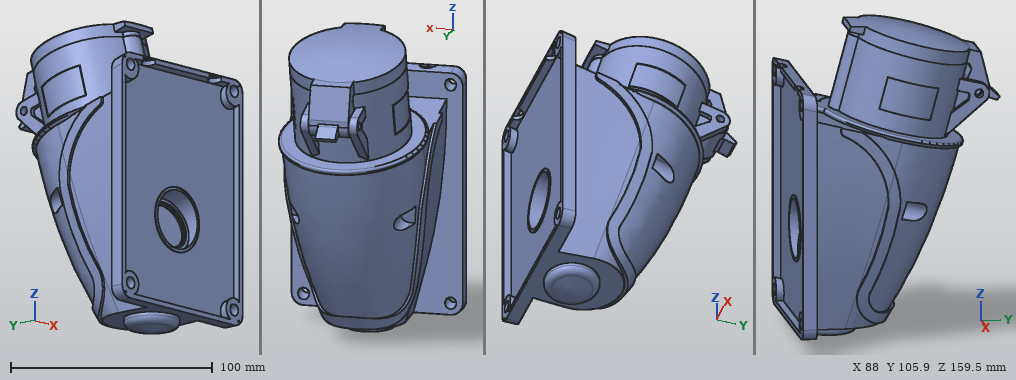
import cadquery as cq
import math

LEAN = 15.0
AXIS_OFFSET = 24.1
REACH = 191.6

PLATE_WIDTH = 88.0
PLATE_THICKNESS = 7.0
PLATE_TOP = 121.4
CORNER_RADIUS = 6.2
RIM_WALL = 2.5
RIM_DEPTH = 3.8
SCREW_X = PLATE_WIDTH / 2 - CORNER_RADIUS
SCREW_HEIGHTS = (7.8, 119.6)
SCREW_DIAMETER = 5.7
BOSS_DIAMETER = 11.7
BOSS_HEIGHTS = (7.8, 118.2)
RIM_NOTCH_X = 24.1
RIM_NOTCH_RADIUS = 4.3
RIM_NOTCH_OFFSET = 0.6

ENTRY_HEIGHT = 47.6
ENTRY_COLLAR_DIAMETER = 32.0
ENTRY_COLLAR_HEIGHT = 0.5
ENTRY_STEPS = ((28.9, 5.9), (25.0, 6.9), (23.2, 8.0))

BODY_RADIUS = 35.8
FLANGE_TOP = 110.8
FLANGE_THICKNESS = 3.0
FLANGE_BOTTOM = FLANGE_TOP - FLANGE_THICKNESS
SHELL_TOP = FLANGE_BOTTOM + 0.6
FLANGE_RADIUS = BODY_RADIUS + FLANGE_THICKNESS / 2
FLANGE_ROUND = 1.3
LOBE_RADIUS = 9.0
LOBE_Y = -35.5
SHELL_BACK = -63.9
SHELL_SECTIONS = ((0.0, 18.2), (19.5, 23.5), (40.0, 28.7), (59.1, 32.3), (87.8, 35.1), (SHELL_TOP, BODY_RADIUS))

BEAD_WIDTH = 6.0
BEAD_RISE = 1.5
BEAD_START = (-28.7, 107.5)
BEAD_ARCS = (
    ((-6.9, 96.0), (5.0, 75.0)),
    ((5.9, 55.9), (3.2, 28.0)),
    ((7.3, 18.8), (17.1, 15.2)),
    ((21.5, 16.0), (27.1, 18.8)),
)

SLOT_DIAMETER = 9.5
SLOT_X = 29.0
SLOT_Y = 11.0
SLOT_HEIGHT = 73.8

PLUG_Y = 20.8
PLUG_RADIUS = 13.9
PLUG_STRAIGHT = 1.6
PLUG_SHOULDER = (10.2, 5.1)
PLUG_DEPTH = 7.3

SOCKET_RADIUS = 29.0
SOCKET_FOOT = FLANGE_BOTTOM + 1.6
SOCKET_TOP = 149.2
KEY_RADIUS = 6.7
KEY_Y = -25.9
LABEL_HALF_WIDTH = 13.3
LABEL_BOTTOM = 120.0
LABEL_TOP = 136.5
LABEL_DEPTH = 0.5

HINGE_Y = 36.5
HINGE_Z = 136.4
ARM_HALF_WIDTH = 10.2
EAR_OUTER_X = 14.5
EAR_RADIUS = 5.1
EAR_HOLE = 4.2
EAR_FOOT = (24.0, SOCKET_FOOT)
EAR_ROOT_Y = 19.2
EAR_RECESS_DEPTH = 2.4
EAR_RECESS = ((EAR_ROOT_Y, 135.5), (32.3, 135.5), (32.3, 131.9), (EAR_ROOT_Y, 116.3))
EAR_RECESS_ROUND = 1.6

LID_EDGE = 156.0
DOME_RISE = 3.0
TAB_FRONT = -34.5
TAB_BOTTOM = 151.7
LID_KEY_RADIUS = 6.4
ARM_OUTLINE = (
    (16.0, SOCKET_TOP), (16.0, 156.2), (32.9, 156.2), (41.2, 141.2), (42.0, 138.3),
    (38.3, HINGE_Z), (31.3, 134.1), (29.9, 142.1), (30.5, 147.0), (28.7, SOCKET_TOP),
)
KNUCKLE_RADIUS = 5.7
LID_PIN_HOLE = 3.0
LEVER_HALF_WIDTH = 5.1
LEVER_OUTLINE = ((39.1, 140.5), (42.8, 138.8), (49.3, 135.3), (48.4, 133.3), (43.1, 133.8), (39.1, 131.8))


def lean(shape):
    """Move a shape from the leaning frame to its place in the enclosure."""
    return shape.translate((0, AXIS_OFFSET, 0)).rotate((0, 0, 0), (1, 0, 0), -LEAN)


def block(x0, x1, y0, y1, z0, z1):
    """Axis-aligned block between the given limits."""
    return cq.Workplane("XY").box(x1 - x0, y1 - y0, z1 - z0, centered=False).translate((x0, y0, z0))


def disc(radius, bottom, top, y=0.0):
    """Upright cylinder centred on x = 0."""
    return cq.Workplane("XY", origin=(0, y, bottom)).circle(radius).extrude(top - bottom)


def side_prism(outline, half_width):
    """Closed (y, z) outline extruded to both sides of x = 0."""
    return cq.Workplane("YZ").polyline(outline).close().extrude(half_width, both=True)


def side_rod(y, z, radius, half_width):
    """Cylinder along X, centred on x = 0."""
    return cq.Workplane("YZ", origin=(0, y, z)).circle(radius).extrude(half_width, both=True)


def drill(x, rear_y, height, diameter, start, end):
    """Leaning rod through (x, rear_y, height), reaching from start to end along its own axis."""
    direction = cq.Vector(0, math.cos(math.radians(LEAN)), -math.sin(math.radians(LEAN)))
    origin = cq.Vector(x, rear_y, height) + direction * start
    plane = cq.Plane(origin=origin, xDir=(1, 0, 0), normal=direction)
    return cq.Workplane(plane).circle(diameter / 2).extrude(end - start)


def leaning_frame(half_width, top, radius):
    """Solid bounded by the sides and the leaning top edge of the plate."""
    prism = block(-half_width, half_width, -REACH, REACH, -REACH, top)
    if radius:
        prism = prism.edges("|Y and >Z").fillet(radius)
    return lean(prism)


def make_plate():
    half = PLATE_WIDTH / 2
    plate = block(-half, half, 0, PLATE_THICKNESS, 0, REACH).edges("|Y and <Z").fillet(CORNER_RADIUS)
    plate = plate.intersect(leaning_frame(half, PLATE_TOP, CORNER_RADIUS))

    inner = half - RIM_WALL
    pocket = block(-inner, inner, 0, RIM_DEPTH, RIM_WALL, REACH)
    pocket = pocket.intersect(leaning_frame(inner, PLATE_TOP - RIM_WALL, 0))
    for side in (-1, 1):
        for height in BOSS_HEIGHTS:
            pocket = pocket.cut(drill(side * SCREW_X, 0, height, BOSS_DIAMETER, -16, 16))
    plate = plate.cut(pocket)

    for side in (-1, 1):
        for height in SCREW_HEIGHTS:
            plate = plate.cut(drill(side * SCREW_X, 0, height, SCREW_DIAMETER, -16, 16))
        notch = cq.Workplane("XY", origin=(side * RIM_NOTCH_X, -RIM_NOTCH_OFFSET, PLATE_TOP - RIM_WALL))
        plate = plate.cut(notch.circle(RIM_NOTCH_RADIUS).extrude(CORNER_RADIUS))
    return plate


def add_cable_entry(shape):
    collar = drill(0, RIM_DEPTH, ENTRY_HEIGHT, ENTRY_COLLAR_DIAMETER, -16, 16)
    shape = shape.union(collar.intersect(
        block(-REACH, REACH, RIM_DEPTH - ENTRY_COLLAR_HEIGHT, PLATE_THICKNESS, 0, REACH)))
    for diameter, depth in ENTRY_STEPS:
        shape = shape.cut(drill(0, RIM_DEPTH, ENTRY_HEIGHT, diameter, -16, depth))
    return shape


def make_shell(rise=0.0):
    """Tapering shell with straight sides and a round front, grown outward by rise."""
    sections = []
    for height, half_width in SHELL_SECTIONS:
        radius = half_width + rise
        section = (
            cq.Workplane("XY", origin=(0, 0, height))
            .moveTo(-radius, SHELL_BACK)
            .lineTo(radius, SHELL_BACK)
            .lineTo(radius, 0)
            .threePointArc((0, radius), (-radius, 0))
            .close()
        )
        sections.append(section.val())
    return cq.Workplane(cq.Solid.makeLoft(sections))


def make_bead():
    """Band that stands proud of the shell along an open line of arcs."""
    line = cq.Workplane("YZ", origin=(-BODY_RADIUS - 8, 0, 0)).moveTo(*BEAD_START)
    for middle, end in BEAD_ARCS:
        line = line.threePointArc(middle, end)
    band = line.wire().offset2D(BEAD_WIDTH / 2).extrude(2 * BODY_RADIUS + 16)
    return make_shell(BEAD_RISE).intersect(band)


def make_slot(side):
    groove = cq.Workplane("XZ", origin=(side * SLOT_X, SLOT_Y, SLOT_HEIGHT)).circle(SLOT_DIAMETER / 2)
    groove = groove.extrude(-BODY_RADIUS)
    half = SLOT_DIAMETER / 2
    inner, outer = sorted((side * SLOT_X, side * REACH))
    opening = block(inner, outer, SLOT_Y, SLOT_Y + BODY_RADIUS, SLOT_HEIGHT - half, SLOT_HEIGHT + half)
    return groove.union(opening)


def make_flange():
    ring = disc(FLANGE_RADIUS, FLANGE_BOTTOM, FLANGE_TOP).edges().fillet(FLANGE_ROUND)
    lobe = disc(LOBE_RADIUS, FLANGE_BOTTOM, FLANGE_TOP, LOBE_Y).edges().fillet(FLANGE_ROUND)
    return ring.union(lobe)


def make_enclosure():
    shell = make_shell().union(make_bead())
    for side in (-1, 1):
        shell = shell.cut(make_slot(side))
    return lean(shell).intersect(block(-REACH, REACH, RIM_DEPTH, REACH, 0, REACH))


def make_plug():
    shoulder_radius, shoulder_depth = PLUG_SHOULDER
    profile = (
        cq.Workplane("XZ")
        .lineTo(PLUG_RADIUS, 0)
        .lineTo(PLUG_RADIUS, -PLUG_STRAIGHT)
        .tangentArcPoint((shoulder_radius, -shoulder_depth), relative=False)
        .lineTo(0, -PLUG_DEPTH)
        .close()
    )
    return profile.revolve(360, (0, 0, 0), (0, 1, 0)).translate((0, PLUG_Y, 0))


def make_ear(side):
    outline = ((EAR_ROOT_Y, HINGE_Z + EAR_RADIUS), (HINGE_Y, HINGE_Z + EAR_RADIUS))
    slope = math.atan2(HINGE_Z - EAR_FOOT[1], HINGE_Y - EAR_FOOT[0])
    tangent = (HINGE_Y + EAR_RADIUS * math.sin(slope), HINGE_Z - EAR_RADIUS * math.cos(slope))
    tip = (HINGE_Y + EAR_RADIUS * math.cos(slope / 2), HINGE_Z + EAR_RADIUS * math.sin(slope / 2))
    ear = (
        cq.Workplane("YZ", origin=(ARM_HALF_WIDTH, 0, 0))
        .polyline(outline)
        .threePointArc(tip, tangent)
        .lineTo(*EAR_FOOT)
        .lineTo(EAR_ROOT_Y, EAR_FOOT[1])
        .close()
        .extrude(EAR_OUTER_X - ARM_HALF_WIDTH)
    )
    recess = cq.Workplane("YZ", origin=(EAR_OUTER_X - EAR_RECESS_DEPTH, 0, 0)).polyline(EAR_RECESS).close()
    recess = recess.extrude(EAR_RECESS_DEPTH).edges("|X and >Y").fillet(EAR_RECESS_ROUND)
    ear = ear.cut(recess).cut(side_rod(HINGE_Y, HINGE_Z, EAR_HOLE / 2, EAR_OUTER_X))
    return ear if side > 0 else ear.mirror("YZ")


def make_socket():
    socket = disc(SOCKET_RADIUS, SOCKET_FOOT, SOCKET_TOP)
    label_ring = disc(SOCKET_RADIUS, LABEL_BOTTOM, LABEL_TOP)
    label_ring = label_ring.cut(disc(SOCKET_RADIUS - LABEL_DEPTH, LABEL_BOTTOM, LABEL_TOP))
    labels = label_ring.intersect(
        block(-REACH, REACH, -LABEL_HALF_WIDTH, LABEL_HALF_WIDTH, LABEL_BOTTOM, LABEL_TOP))
    ears = make_ear(1).union(make_ear(-1)).cut(disc(SOCKET_RADIUS - LABEL_DEPTH, SOCKET_FOOT, SOCKET_TOP))
    socket = socket.union(disc(KEY_RADIUS, SOCKET_FOOT, SOCKET_TOP, KEY_Y)).cut(labels)
    return socket.union(ears)


def make_housing():
    housing = add_cable_entry(make_plate().union(make_enclosure()))
    housing = housing.union(make_plug())
    return housing.union(lean(make_flange().union(make_socket())))


def make_lid():
    apex = LID_EDGE + DOME_RISE
    cap = disc(SOCKET_RADIUS, SOCKET_TOP, apex)
    cap = cap.union(block(-ARM_HALF_WIDTH, ARM_HALF_WIDTH, TAB_FRONT, 0, TAB_BOTTOM, apex))
    cap = cap.union(disc(LID_KEY_RADIUS, SOCKET_TOP, TAB_BOTTOM, KEY_Y))
    dome_radius = (SOCKET_RADIUS ** 2 + DOME_RISE ** 2) / (2 * DOME_RISE)
    cap = cap.intersect(cq.Workplane("XY", origin=(0, 0, apex - dome_radius)).sphere(dome_radius))

    arm = side_prism(ARM_OUTLINE, ARM_HALF_WIDTH).cut(disc(SOCKET_RADIUS - 1.6, SOCKET_TOP, REACH))
    knuckle = side_rod(HINGE_Y, HINGE_Z, KNUCKLE_RADIUS, ARM_HALF_WIDTH)
    lever = side_prism(LEVER_OUTLINE, LEVER_HALF_WIDTH)
    lid = cap.union(arm).union(knuckle).union(lever)
    return lean(lid.cut(side_rod(HINGE_Y, HINGE_Z, LID_PIN_HOLE / 2, REACH)))


housing = make_housing()
lid = make_lid()
result = cq.Compound.makeCompound([housing.val(), lid.val()])